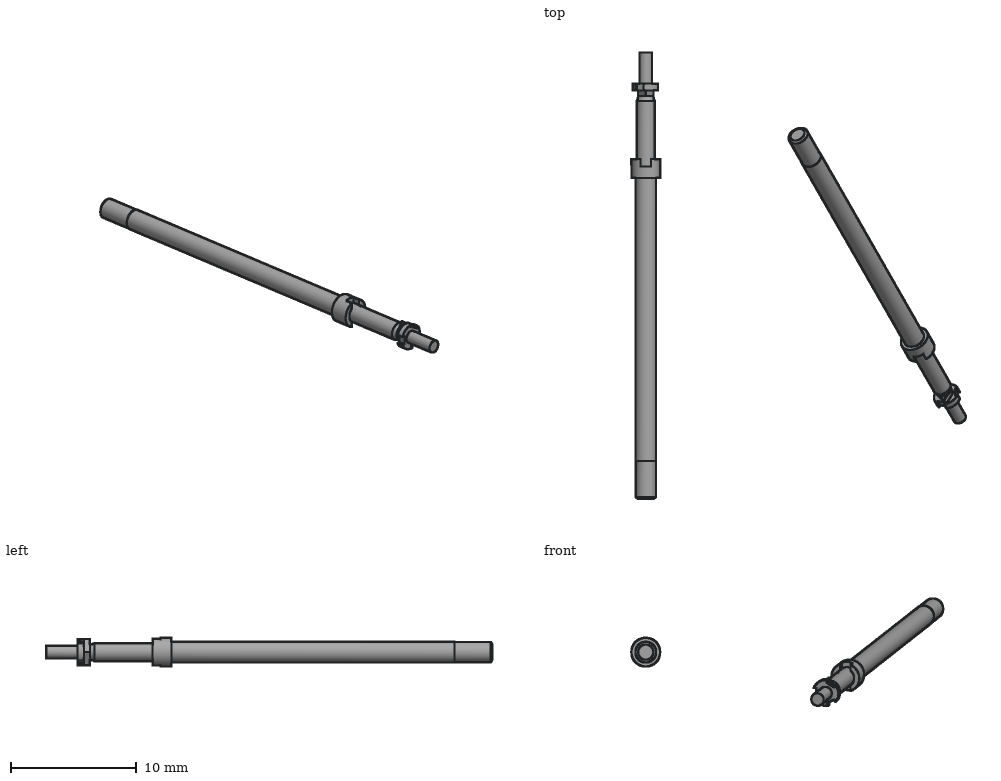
import cadquery as cq
import math

LENGTH = 35.5
TIP_Y = LENGTH / 2

PIN_DIA = 1.03
DISC_DIA = 2.1
NECK_DIA = 1.25
BARREL_DIA = 1.45
COLLAR_DIA = 2.3
BODY_DIA = 1.67
TAIL_DIA = 1.65

PIN_LENGTH = 2.5
DISC_LENGTH = 0.55
BLADE_LENGTH = 0.45
FLARE_LENGTH = 0.4
BARREL_LENGTH = 4.6
COLLAR_LENGTH = 1.5
TAIL_LENGTH = 3.0

CHAMFER_LENGTH = 0.15
CHAMFER_DEPTH = 0.2

SLOT_COUNT = 3
SLOT_WIDTH = 0.7
SLOT_FLOOR_RADIUS = 0.78

BLADE_WIDTH = 1.25
BLADE_FACE_TILT = 30.0

NOTCH_WIDTH = 0.85
NOTCH_LENGTH = 0.6

disc_front_y = TIP_Y - PIN_LENGTH
blade_front_y = disc_front_y - DISC_LENGTH
flare_front_y = blade_front_y - BLADE_LENGTH
barrel_front_y = flare_front_y - FLARE_LENGTH
collar_front_y = barrel_front_y - BARREL_LENGTH
body_front_y = collar_front_y - COLLAR_LENGTH
tail_end_y = TIP_Y - LENGTH
tail_front_y = tail_end_y + TAIL_LENGTH


def section_plane(y):
    """Cross-section at y: local x is X, local y is Z, and extrusion runs toward -Y."""
    return cq.Workplane(cq.Plane(origin=(0, y, 0), xDir=(1, 0, 0), normal=(0, -1, 0)))


def rod(diameter, front_y, length):
    return section_plane(front_y).circle(diameter / 2).extrude(length)


def slotted_disc():
    disc = rod(DISC_DIA, disc_front_y, DISC_LENGTH)
    slot_depth = DISC_DIA / 2
    for index in range(SLOT_COUNT):
        slot = (
            section_plane(disc_front_y)
            .center(SLOT_FLOOR_RADIUS + slot_depth / 2, 0)
            .rect(slot_depth, SLOT_WIDTH)
            .extrude(DISC_LENGTH)
            .rotate((0, 0, 0), (0, 1, 0), index * 360 / SLOT_COUNT)
        )
        disc = disc.cut(slot)
    return disc


def diamond_blade():
    """Four-sided blade whose upper and lower points are trimmed to the disc's outline."""
    half_width = BLADE_WIDTH / 2
    half_height = half_width / math.tan(math.radians(BLADE_FACE_TILT))
    diamond = (
        section_plane(blade_front_y)
        .polyline([(-half_width, 0), (0, half_height), (half_width, 0), (0, -half_height)])
        .close()
        .extrude(BLADE_LENGTH)
    )
    return diamond.intersect(rod(DISC_DIA, blade_front_y, BLADE_LENGTH))


def flared_barrel():
    """Barrel led by a concave flare, which starts parallel to the axis and ends at an edge."""
    neck_radius = NECK_DIA / 2
    barrel_radius = BARREL_DIA / 2
    rise = barrel_radius - neck_radius
    arc_radius = (FLARE_LENGTH**2 + rise**2) / (2 * rise)
    half_angle = math.asin(FLARE_LENGTH / arc_radius) / 2
    flare_middle = (
        neck_radius + arc_radius * (1 - math.cos(half_angle)),
        flare_front_y - arc_radius * math.sin(half_angle),
    )
    flare = (
        cq.Workplane("XY")
        .moveTo(0, flare_front_y)
        .lineTo(neck_radius, flare_front_y)
        .threePointArc(flare_middle, (barrel_radius, barrel_front_y))
        .lineTo(0, barrel_front_y)
        .close()
        .revolve(360, (0, 0, 0), (0, 1, 0))
    )
    return flare.union(rod(BARREL_DIA, barrel_front_y, BARREL_LENGTH))


def notched_collar():
    """Collar cut down to the barrel surface by a notch above and a notch below."""
    collar = rod(COLLAR_DIA, collar_front_y, COLLAR_LENGTH)
    notches = section_plane(collar_front_y).rect(NOTCH_WIDTH, COLLAR_DIA).extrude(NOTCH_LENGTH)
    notches = notches.cut(rod(BARREL_DIA, collar_front_y, NOTCH_LENGTH))
    return collar.cut(notches)


def body_and_tail():
    body = rod(BODY_DIA, body_front_y, body_front_y - tail_front_y)
    tail = rod(TAIL_DIA, tail_front_y, TAIL_LENGTH)
    tail = tail.faces("<Y").edges().chamfer(CHAMFER_LENGTH, CHAMFER_DEPTH)
    return body.union(tail)


result = (
    rod(PIN_DIA, TIP_Y, PIN_LENGTH)
    .union(slotted_disc())
    .union(diamond_blade())
    .union(flared_barrel())
    .union(notched_collar())
    .union(body_and_tail())
)